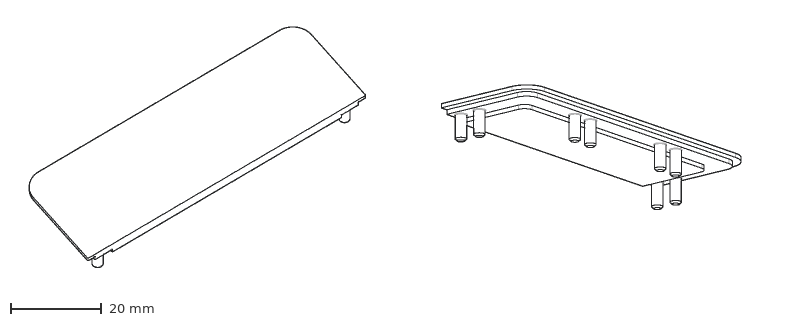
import cadquery as cq

LENGTH = 75.6
WIDTH = 25.5
HEIGHT = 8.0
CORNER_RADIUS = 5.1
END_CORNER_RADIUS = 0.2

COVER_THICKNESS = 1.0
STEP_THICKNESS = 1.05
STEP_INSET = 1.9
PAD_THICKNESS = 1.0
PAD_INSET = 6.65
PAD_CORNER_RADIUS = 2.1

PIN_DIAMETER = 2.6
PIN_ROOT_FILLET = 0.15
PIN_CHAMFER = 0.45
PIN_EDGE_DISTANCE = 4.2
PIN_PAIR_SPACING = 5.3
SIDE_PAIR_OFFSET = 14.6
END_PAIR_X = 20.65

STEP_TOP = HEIGHT - COVER_THICKNESS
STEP_BOTTOM = STEP_TOP - STEP_THICKNESS
PAD_BOTTOM = STEP_BOTTOM - PAD_THICKNESS


def layer(inset, corner_radius, bottom, thickness):
    """Plate inset from three edges, flush with +X, rounded at the two -X corners."""
    return (
        cq.Workplane("XY", origin=((WIDTH + inset) / 2, 0, bottom))
        .rect(WIDTH - inset, LENGTH - 2 * inset)
        .extrude(thickness)
        .edges("|Z and <X")
        .fillet(corner_radius)
    )


def soften_end(plate):
    """Round the two +X corners just enough to take off the sharp edge."""
    return plate.edges("|Z and >X").fillet(END_CORNER_RADIUS)


def pin(x, y):
    """Pin with a chamfered tip and a small fillet where it meets the step."""
    radius = PIN_DIAMETER / 2
    return (
        cq.Workplane("XZ")
        .lineTo(radius - PIN_CHAMFER, 0)
        .lineTo(radius, PIN_CHAMFER)
        .lineTo(radius, STEP_BOTTOM - PIN_ROOT_FILLET)
        .tangentArcPoint((PIN_ROOT_FILLET, PIN_ROOT_FILLET))
        .lineTo(0, STEP_BOTTOM)
        .close()
        .revolve(360, (0, 0), (0, 1))
        .translate((x, y, 0))
    )


cover = soften_end(layer(0, CORNER_RADIUS, STEP_TOP, COVER_THICKNESS))
step = soften_end(layer(STEP_INSET, CORNER_RADIUS - STEP_INSET, STEP_BOTTOM, STEP_THICKNESS))
pad = layer(PAD_INSET, PAD_CORNER_RADIUS, PAD_BOTTOM, PAD_THICKNESS)
result = cover.union(step).union(pad)

end_row_y = LENGTH / 2 - PIN_EDGE_DISTANCE
for side in (-1, 1):
    for shift in (-PIN_PAIR_SPACING / 2, PIN_PAIR_SPACING / 2):
        result = result.union(pin(PIN_EDGE_DISTANCE, side * SIDE_PAIR_OFFSET + shift))
        result = result.union(pin(END_PAIR_X + shift, side * end_row_y))